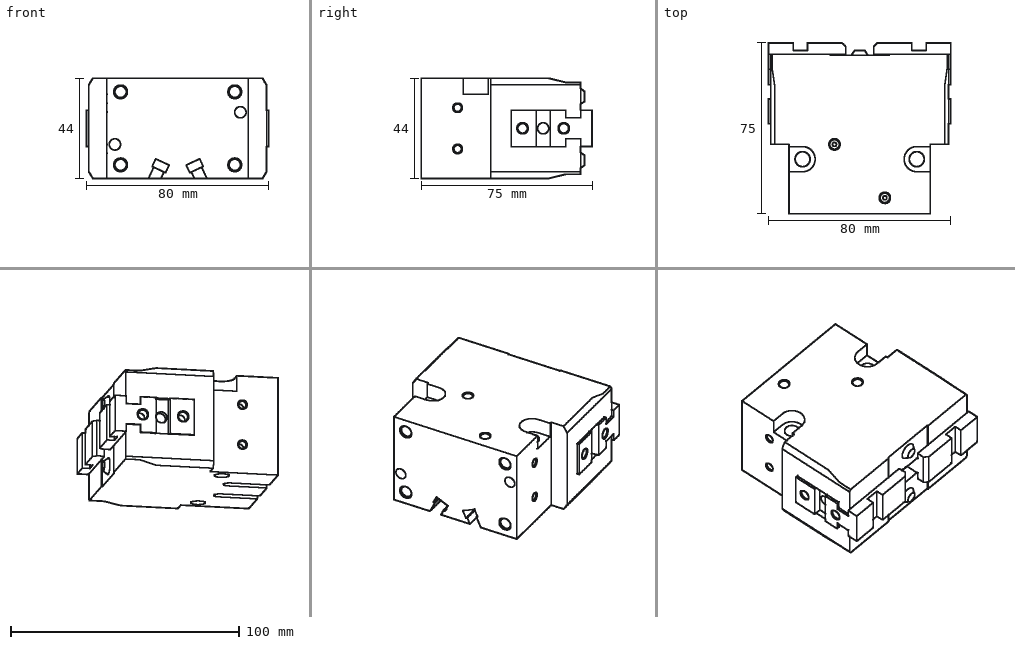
import cadquery as cq
import math


head_width = 78.0
tail_width = 62.0
height = 44.0
tail_length = 30.5
housing_length = 70.0
edge_chamfer_x = 1.8
edge_chamfer_z = 3.0
taper_start = 56.0
front_plate_thickness = 6.5
front_plate_start = housing_length - front_plate_thickness
front_height = 40.3
front_recess_width = 26.0
front_recess_depth = 0.4

jaw_outer_x = 40.0
jaw_inner_x = 6.1
jaw_height = 16.0
jaw_neck_height = 9.1
jaw_back = 39.4
jaw_front = 75.0
jaw_chamfer = 1.7
finger_slot_x = 26.0
finger_slot_width = 6.2
finger_slot_depth = 3.4
side_key_y = 53.5
side_key_width = 6.2
side_key_depth = 3.5
jaw_hole_spacing = 9.0
jaw_dowel_diameter = 4.9
jaw_dowel_depth = 3.0
jaw_tap_diameter = 4.2
jaw_tap_mouth = 5.0
jaw_tap_depth = 6.4

mount_x = 25.0
mount_y = 24.0
mount_diameter = 6.5
mount_slot_width = 11.0
mount_slot_depth = 7.0

rear_tap_z = 16.0
rear_tap_diameter = 5.0
rear_tap_mouth = 6.0
rear_tap_depth = 10.0
rear_dowel_x = 27.5
rear_dowel_z = 7.0
rear_dowel_diameter = 5.0
rear_dowel_depth = 8.0

side_tap_y = 16.0
side_tap_z = 9.0
side_tap_diameter = 3.3
side_tap_mouth = 4.2
side_tap_depth = 6.0

port_places = [(-11.0, 30.5), (11.0, 7.0)]
port_diameter = 4.2
port_mouth = 5.0
port_depth = 5.0
port_duct_diameter = 1.8
port_duct_depth = 4.0

sensor_mouth_x = 10.1
sensor_tilt = 25.0
sensor_depth = 8.0
sensor_mouth_width = 5.0
sensor_inner_width = 6.5
sensor_inner_depth = 3.7
sensor_length = 20.0

stud_z = 14.0
stud_base_diameter = 7.4
stud_top_diameter = 4.5
stud_tip_y = 71.7

drill_point_angle = 118.0


def box(x0, x1, y0, y1, z0, z1):
    """Box between two opposite corners."""
    return cq.Workplane("XY").box(x1 - x0, y1 - y0, z1 - z0, centered=False).translate((x0, y0, z0))


def blind_hole(place, inward, diameter, depth, mouth=0.0):
    """Drilled hole with a conical bottom and, where mouth is given, a 45 degree countersink."""
    radius = diameter / 2
    point = radius / math.tan(math.radians(drill_point_angle / 2))
    start = cq.Vector(*place)
    axis = cq.Vector(*inward)
    hole = cq.Solid.makeCylinder(radius, depth, start, axis)
    hole = hole.fuse(cq.Solid.makeCone(radius, 0, point, start + axis * depth, axis))
    if mouth > diameter:
        sink = (mouth - diameter) / 2
        hole = hole.fuse(cq.Solid.makeCone(mouth / 2, radius, sink, start, axis))
    return cq.Workplane(hole)



def housing_block():
    """Chamfered wide head, tapered towards the front, with the narrower tail behind it."""
    half_width = head_width / 2
    half_height = height / 2
    flat_x = half_width - edge_chamfer_x
    flat_z = half_height - edge_chamfer_z
    head_section = [
        (flat_x, half_height), (half_width, flat_z), (half_width, -flat_z), (flat_x, -half_height),
        (-flat_x, -half_height), (-half_width, -flat_z), (-half_width, flat_z), (-flat_x, half_height),
    ]
    side_profile = [
        (0, -half_height), (taper_start, -half_height), (front_plate_start, -front_height / 2),
        (housing_length, -front_height / 2), (housing_length, front_height / 2),
        (front_plate_start, front_height / 2), (taper_start, half_height), (0, half_height),
    ]
    head = cq.Workplane("XZ", origin=(0, tail_length, 0)).polyline(head_section).close()
    head = head.extrude(tail_length - housing_length)
    taper = cq.Workplane("YZ").polyline(side_profile).close().extrude(half_width, both=True)
    tail = box(-tail_width / 2, tail_width / 2, 0, tail_length, -half_height, half_height)
    return head.intersect(taper).union(tail)


def front_recess():
    """Shallow step in the middle of the front face."""
    half_width = front_recess_width / 2
    floor_y = housing_length - front_recess_depth
    return box(-half_width, half_width, floor_y, housing_length, -height / 2, height / 2)


def stud(z):
    """Tapered round stud standing on the floor of the front recess."""
    base_y = housing_length - front_recess_depth
    return cq.Workplane(cq.Solid.makeCone(
        stud_base_diameter / 2, stud_top_diameter / 2, stud_tip_y - base_y,
        cq.Vector(0, base_y, z), cq.Vector(0, 1, 0),
    ))


def mount_cut(side):
    """Through hole and its round-ended seat, which runs out through the side of the tail."""
    seat_z = height / 2 - mount_slot_depth
    half_slot = mount_slot_width / 2
    x = side * mount_x
    hole = cq.Workplane("XY", origin=(x, mount_y, -height / 2)).circle(mount_diameter / 2).extrude(height)
    seat = cq.Workplane("XY", origin=(x, mount_y, seat_z)).circle(half_slot).extrude(mount_slot_depth)
    edge_x = side * tail_width / 2
    run_out = box(
        min(x, edge_x), max(x, edge_x), mount_y - half_slot, mount_y + half_slot, seat_z, height / 2
    )
    return hole.union(seat).union(run_out)


def air_port(x, y):
    """Countersunk port with a flat floor and a narrow duct in its middle."""
    top = height / 2
    sink = (port_mouth - port_diameter) / 2
    port = cq.Workplane("XY", origin=(x, y, top)).circle(port_diameter / 2).extrude(-port_depth)
    duct = cq.Workplane("XY", origin=(x, y, top - port_depth)).circle(port_duct_diameter / 2)
    duct = duct.extrude(-port_duct_depth)
    mouth = cq.Solid.makeCone(
        port_mouth / 2, port_diameter / 2, sink, cq.Vector(x, y, top), cq.Vector(0, 0, -1)
    )
    return port.union(duct).union(cq.Workplane(mouth))


def round_ended_groove(width, bottom, top):
    """Upright groove from the rear face to a half-round end, between two heights."""
    end_y = sensor_length - width / 2
    groove = box(-width / 2, width / 2, -width, end_y, bottom, top)
    end = cq.Workplane("XY", origin=(0, end_y, bottom)).circle(width / 2).extrude(top - bottom)
    return groove.union(end)


def sensor_groove(side):
    """Undercut groove in the bottom face, leaning towards the middle."""
    inner_start = sensor_depth - sensor_inner_depth
    groove = round_ended_groove(sensor_mouth_width, -sensor_mouth_width, sensor_depth)
    groove = groove.union(round_ended_groove(sensor_inner_width, inner_start, sensor_depth))
    groove = groove.rotate((0, 0, 0), (0, 1, 0), -side * sensor_tilt)
    return groove.translate((side * sensor_mouth_x, 0, -height / 2))



def jaw_guide(x0, x1):
    """Bar along X with the section shared by the jaws and their guideway: base, neck and head."""
    half_height = jaw_height / 2
    half_neck = jaw_neck_height / 2
    bar = box(x0, x1, jaw_back, jaw_front, -half_height, half_height)
    for z0, z1 in [(half_neck, half_height), (-half_height, -half_neck)]:
        bar = bar.cut(box(x0, x1, front_plate_start, housing_length, z0, z1))
    return bar


def make_jaw(side):
    """Jaw with a finger slot in front and a key groove and three holes in its outer end."""
    half_height = jaw_height / 2
    jaw = jaw_guide(-jaw_outer_x, -jaw_inner_x)
    jaw = jaw.edges("|Z and >X and >Y").chamfer(jaw_chamfer)
    jaw = jaw.cut(box(
        -finger_slot_x - finger_slot_width / 2, -finger_slot_x + finger_slot_width / 2,
        jaw_front - finger_slot_depth, jaw_front, -half_height, half_height,
    ))
    key_floor_x = -jaw_outer_x + side_key_depth
    jaw = jaw.cut(box(
        -jaw_outer_x, key_floor_x,
        side_key_y - side_key_width / 2, side_key_y + side_key_width / 2, -half_height, half_height,
    ))
    jaw = jaw.cut(blind_hole((key_floor_x, side_key_y, 0), (1, 0, 0), jaw_dowel_diameter, jaw_dowel_depth))
    for y in (side_key_y - jaw_hole_spacing, side_key_y + jaw_hole_spacing):
        jaw = jaw.cut(blind_hole(
            (-jaw_outer_x, y, 0), (1, 0, 0), jaw_tap_diameter, jaw_tap_depth, jaw_tap_mouth
        ))
    return jaw.mirror("YZ") if side > 0 else jaw



def make_housing():
    """Housing block with the jaw guideway, studs, mounting cuts, grooves and holes."""
    housing = housing_block().cut(front_recess())
    housing = housing.cut(jaw_guide(-jaw_outer_x, jaw_outer_x))
    for z in (-stud_z, stud_z):
        housing = housing.union(stud(z))
    for side in (-1, 1):
        housing = housing.cut(mount_cut(side)).cut(sensor_groove(side))
        for z in (-rear_tap_z, rear_tap_z):
            housing = housing.cut(blind_hole(
                (side * mount_x, 0, z), (0, 1, 0), rear_tap_diameter, rear_tap_depth, rear_tap_mouth
            ))
        for z in (-side_tap_z, side_tap_z):
            housing = housing.cut(blind_hole(
                (side * tail_width / 2, side_tap_y, z), (-side, 0, 0),
                side_tap_diameter, side_tap_depth, side_tap_mouth,
            ))
        housing = housing.cut(blind_hole(
            (side * rear_dowel_x, 0, side * rear_dowel_z), (0, 1, 0), rear_dowel_diameter, rear_dowel_depth
        ))
    for x, y in port_places:
        housing = housing.cut(air_port(x, y))
    return housing


housing = make_housing()
jaws = [make_jaw(side) for side in (-1, 1)]

result = cq.Compound.makeCompound([housing.val(), *[jaw.val() for jaw in jaws]])